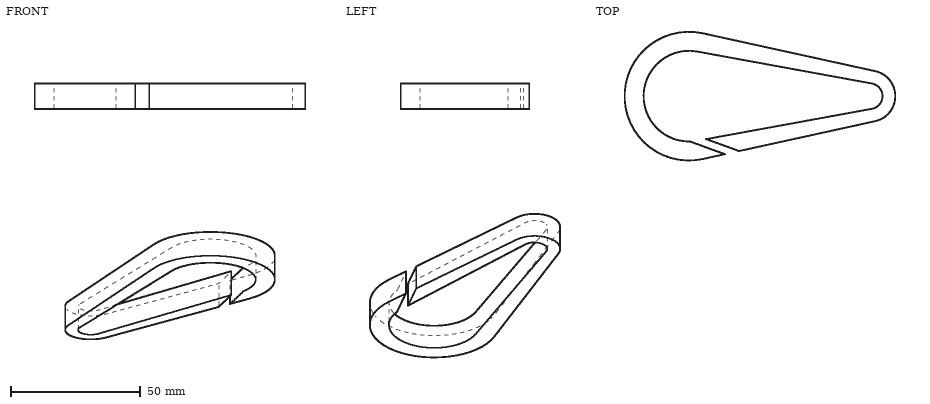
import cadquery as cq
import math

length = 104.9
thickness = 10.0
outer_big_radius = 25.0
outer_small_radius = 10.0
big_wall = 7.5
small_wall = 5.0
gap_width = 2.9
gap_angle = -20.0
gap_center_x = 4.7
inner_lead = 8.4

center_distance = length - outer_big_radius - outer_small_radius
inner_big_radius = outer_big_radius - big_wall
inner_small_radius = outer_small_radius - small_wall


def teardrop(big_radius, small_radius):
    """Solid bounded by two end arcs and their common tangents."""
    sine = (big_radius - small_radius) / center_distance
    cosine = math.sqrt(1 - sine**2)
    big_x, big_y = big_radius * sine, big_radius * cosine
    small_x, small_y = center_distance + small_radius * sine, small_radius * cosine
    return (
        cq.Workplane("XY")
        .moveTo(big_x, big_y)
        .lineTo(small_x, small_y)
        .threePointArc((center_distance + small_radius, 0), (small_x, -small_y))
        .lineTo(big_x, -big_y)
        .threePointArc((-big_radius, 0), (big_x, big_y))
        .close()
        .extrude(thickness)
    )


def gate_gap():
    """Slanted slot through the lower arm; it starts inside the opening and exits outward."""
    slot_length = outer_big_radius + inner_lead
    slot_middle = slot_length / 2 - inner_lead
    return (
        cq.Workplane("XY")
        .center(slot_middle, 0)
        .rect(slot_length, gap_width)
        .extrude(thickness)
        .rotate((0, 0, 0), (0, 0, 1), gap_angle)
        .translate((gap_center_x, -inner_big_radius, 0))
    )


ring = teardrop(outer_big_radius, outer_small_radius).cut(
    teardrop(inner_big_radius, inner_small_radius)
)
result = ring.cut(gate_gap())